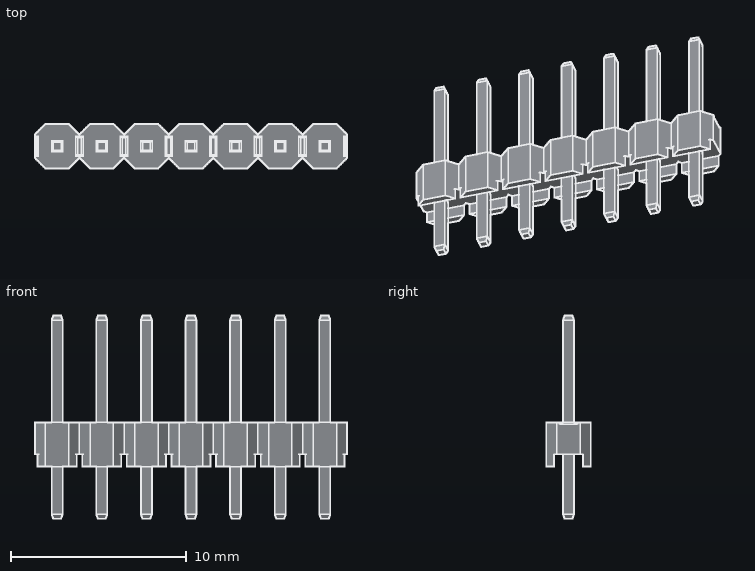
import cadquery as cq

PIN_COUNT = 7
ROW_LENGTH = 17.78
PITCH = ROW_LENGTH / PIN_COUNT
FIRST_X = -(ROW_LENGTH - PITCH) / 2

BLOCK_HEIGHT = 2.5
CELL_DEPTH = 2.55
CORNER_CHAMFER = 0.6

CHANNEL_WIDTH = 1.64
CHANNEL_HEIGHT = 0.7

POCKET_WIDTH = 0.41
POCKET_LENGTH = 1.15
POCKET_DEPTH = 0.1
POCKET_WALL_INSET = 0.1

TOTAL_HEIGHT = 11.6
PIN_SIZE = 0.64
PIN_BELOW = 2.99
TIP_HEIGHT = 0.27
TIP_INSET = 0.1

pin_positions = [FIRST_X + i * PITCH for i in range(PIN_COUNT)]
boundary_positions = [-ROW_LENGTH / 2 + i * PITCH for i in range(PIN_COUNT + 1)]


def make_frustum(base_z, base_size, end_z, inset):
    """Rectangular frustum whose end face is smaller than its base by the inset on every side."""
    length_x, length_y = base_size
    return (
        cq.Workplane("XY", origin=(0, 0, base_z))
        .rect(length_x, length_y)
        .workplane(offset=end_z - base_z)
        .rect(length_x - 2 * inset, length_y - 2 * inset)
        .loft(ruled=True)
    )


def make_cell():
    return (
        cq.Workplane("XY")
        .box(PITCH, CELL_DEPTH, BLOCK_HEIGHT, centered=(True, True, False))
        .edges("|Z")
        .chamfer(CORNER_CHAMFER)
    )


def make_channel():
    return cq.Workplane("XY").box(
        ROW_LENGTH, CHANNEL_WIDTH, CHANNEL_HEIGHT, centered=(True, True, False)
    )


def make_pocket():
    return make_frustum(
        BLOCK_HEIGHT,
        (POCKET_WIDTH, POCKET_LENGTH),
        BLOCK_HEIGHT - POCKET_DEPTH,
        POCKET_WALL_INSET,
    )


def make_pin():
    bottom_z = -PIN_BELOW
    top_z = bottom_z + TOTAL_HEIGHT
    lower_shoulder_z = bottom_z + TIP_HEIGHT
    upper_shoulder_z = top_z - TIP_HEIGHT
    section = (PIN_SIZE, PIN_SIZE)
    shank = (
        cq.Workplane("XY", origin=(0, 0, lower_shoulder_z))
        .rect(*section)
        .extrude(upper_shoulder_z - lower_shoulder_z)
    )
    upper_tip = make_frustum(upper_shoulder_z, section, top_z, TIP_INSET)
    lower_tip = make_frustum(lower_shoulder_z, section, bottom_z, TIP_INSET)
    return shank.union(upper_tip).union(lower_tip)


cell = make_cell()
block = cell.translate((pin_positions[0], 0, 0))
for x in pin_positions[1:]:
    block = block.union(cell.translate((x, 0, 0)))
block = block.clean().cut(make_channel())

pocket = make_pocket()
for x in boundary_positions:
    block = block.cut(pocket.translate((x, 0, 0)))

pin = make_pin()
result = block
for x in pin_positions:
    result = result.union(pin.translate((x, 0, 0)))